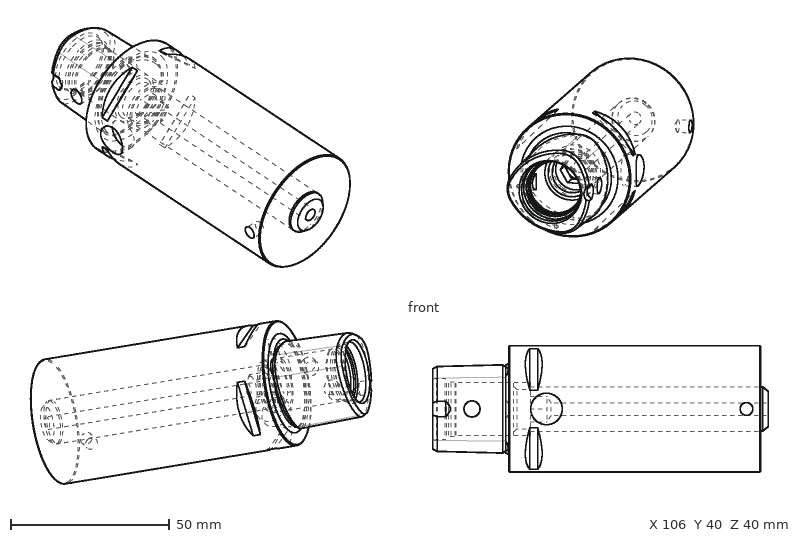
import cadquery as cq
import math


total_length = 106.0
body_diameter = 40.0
body_radius = body_diameter / 2
flange_x = 24.0
body_end_x = 103.6
body_chamfer = 0.3

shank_half_width = 14.0
shank_end_x = 22.0
taper_ratio = 1 / 40
lobe_count = 3
lobe_pitch = 360 / lobe_count
lobe_rise = 0.9
lobe_radius = 8.0
lead_length = 1.4
lead_drop = 0.7
neck_drop = 0.6

undercut_outer_radius = 15.9
undercut_inner_radius = 14.0
undercut_round = 1.2
undercut_centre_radius = undercut_inner_radius + undercut_round
undercut_start_x = flange_x - math.sqrt(
    undercut_round**2 - (undercut_outer_radius - undercut_centre_radius) ** 2
)

mouth_radius = 10.2
mouth_depth = 1.1
bore_entry_radius = 9.6
bore_entry_end_x = 3.8
bore_step_radius = 8.9
bore_step_start_x = 4.2
bore_step_end_x = 4.9
bore_land_radius = 8.6
bore_land_start_x = 5.7
bore_land_end_x = 6.9
bore_radius = 8.4
bore_start_x = 7.3
ring_x = 25.4

ring_length = 5.3
ring_mouth_radius = 7.3
ring_hole_radius = 6.3

bolt_radius = 7.0
bolt_x = ring_x + ring_length
tip_radius = 5.6
tip_length = 1.7
hex_sides = 6
hex_flats = 8.2
hex_depth = 5.3
coolant_radius = 2.0

drill_half_angle = math.radians(59)
pin_hole_x = 12.4
pin_hole_radius = 2.5
pin_hole_end_y = 11.1
notch_radius = 2.8
notch_axis_y = -13.8
notch_depth = 4.1
notch_tip_length = 2.4
side_hole_x = 99.1
side_hole_radius = 2.0
side_hole_depth = 4.2
chip_hole_x = 35.9
chip_hole_radius = 5.0
chip_hole_depth = 5.1

slot_x = 31.9
slot_count = 4
first_slot_angle = 45
slot_floor_distance = 17.7
slot_floor_width = 2.4
slot_mouth_width = 5.3


def revolve_about_x(points):
    """Solid of revolution about X from (x, radius) points."""
    return cq.Workplane("XY").polyline(points).close().revolve(360, (0, 0, 0), (1, 0, 0))


def polar(radius, degrees):
    """Point (y, z) at an angle from +Y toward +Z."""
    angle = math.radians(degrees)
    return (radius * math.cos(angle), radius * math.sin(angle))


def lobed_wire(x, half_width, inset):
    """Closed outline of three lobes and three flanks, all arcs tangent to each other."""
    tip = half_width + lobe_rise
    flat = half_width - lobe_rise
    nose = lobe_radius - inset
    centre = tip - nose
    flank = (nose**2 - flat**2 - centre**2 + flat * centre) / (centre - 2 * flat + 2 * nose)
    offset = flank - flat
    far_y, far_z = polar(offset, lobe_pitch / 2 + 180)
    toward_y, toward_z = centre - far_y, -far_z
    reach = nose / math.hypot(toward_y, toward_z)
    joint_y = centre + reach * toward_y
    joint_z = reach * toward_z
    joint_radius = math.hypot(joint_y, joint_z)
    joint_angle = math.degrees(math.atan2(joint_z, joint_y))

    outline = cq.Workplane("YZ", origin=(x, 0, 0)).moveTo(*polar(joint_radius, -joint_angle))
    for index in range(lobe_count):
        lobe = index * lobe_pitch
        outline = outline.threePointArc(polar(tip, lobe), polar(joint_radius, lobe + joint_angle))
        outline = outline.threePointArc(
            polar(flat, lobe + lobe_pitch / 2),
            polar(joint_radius, lobe + lobe_pitch - joint_angle),
        )
    return outline.close().val()


def lobed_frustum(x_start, half_start, x_end, half_end):
    """Stretch of shank between two lobed outlines, each an inward offset of the widest."""
    wires = [
        lobed_wire(x_start, half_start, shank_half_width - half_start),
        lobed_wire(x_end, half_end, shank_half_width - half_end),
    ]
    return cq.Workplane(cq.Solid.makeLoft(wires, True))


def make_shank():
    """Lead-in chamfer, long taper, relief and neck; the neck runs on inside the body."""
    lead_half = shank_half_width - taper_ratio * (shank_end_x - lead_length)
    neck_half = shank_half_width - neck_drop
    lead = lobed_frustum(0, lead_half - lead_drop, lead_length, lead_half)
    cone = lobed_frustum(lead_length, lead_half, shank_end_x, shank_half_width)
    relief = lobed_frustum(shank_end_x, shank_half_width, undercut_start_x, neck_half)
    root = lobed_frustum(undercut_start_x, neck_half, ring_x, neck_half)
    return lead.union(cone).union(relief).union(root)


def make_undercut():
    """Round-bottomed ring groove in the flange face, beside the shank root."""
    return (
        cq.Workplane("XY")
        .moveTo(undercut_start_x, undercut_inner_radius)
        .threePointArc(
            (undercut_start_x + undercut_round, undercut_centre_radius),
            (flange_x, undercut_outer_radius),
        )
        .lineTo(undercut_start_x, undercut_outer_radius)
        .close()
        .revolve(360, (0, 0, 0), (1, 0, 0))
    )


def make_body():
    """Chamfered cylinder with the rounded root of the shank in its flange face."""
    body = (
        cq.Workplane("YZ", origin=(flange_x, 0, 0))
        .circle(body_radius)
        .extrude(body_end_x - flange_x)
        .edges()
        .chamfer(body_chamfer)
    )
    collar = (
        cq.Workplane("YZ", origin=(undercut_start_x, 0, 0))
        .circle(undercut_outer_radius)
        .extrude(flange_x - undercut_start_x)
    )
    return body.union(collar).cut(make_undercut())


def make_bore():
    """Stepped bore for the ring, then the bolt hole out to the +X end."""
    return revolve_about_x([
        (0, 0),
        (0, mouth_radius),
        (mouth_depth, bore_entry_radius),
        (bore_entry_end_x, bore_entry_radius),
        (bore_step_start_x, bore_step_radius),
        (bore_step_end_x, bore_step_radius),
        (bore_land_start_x, bore_land_radius),
        (bore_land_end_x, bore_land_radius),
        (bore_start_x, bore_radius),
        (bolt_x, bore_radius),
        (bolt_x, bolt_radius),
        (total_length, bolt_radius),
        (total_length, 0),
    ])


def drill_along_y(x, radius, start_y, end_y):
    """Drill running toward +Y with a pointed tip beyond end_y."""
    tip_y = end_y + radius / math.tan(drill_half_angle)
    return (
        cq.Workplane("XY")
        .polyline([(x, start_y), (x + radius, start_y), (x + radius, end_y), (x, tip_y)])
        .close()
        .revolve(360, (x, 0, 0), (x, 1, 0))
    )


def make_notch():
    """Pointed groove along X in the -Y side of the shank."""
    notch = revolve_about_x([
        (0, 0),
        (0, notch_radius),
        (notch_depth, notch_radius),
        (notch_depth + notch_tip_length, 0),
    ])
    return notch.translate((0, notch_axis_y, 0))


def make_chip_hole():
    """Flat-bottomed hole in the -Y side of the body."""
    return (
        cq.Workplane("XZ", origin=(chip_hole_x, -body_radius + chip_hole_depth, 0))
        .circle(chip_hole_radius)
        .extrude(body_radius)
    )


def make_gripper_slot(angle):
    """Straight slot with sloped sides, cut as a chord across the body."""
    depth = body_radius - slot_floor_distance
    slot = (
        cq.Workplane("XZ", origin=(slot_x, 0, 0))
        .polyline([
            (-slot_floor_width / 2, slot_floor_distance),
            (slot_floor_width / 2, slot_floor_distance),
            (slot_mouth_width / 2, slot_floor_distance + depth),
            (-slot_mouth_width / 2, slot_floor_distance + depth),
        ])
        .close()
        .extrude(body_radius, both=True)
    )
    return slot.rotate((0, 0, 0), (1, 0, 0), angle)


def make_housing():
    """Shank and body in one piece, with every hole and slot."""
    housing = make_body().union(make_shank()).cut(make_bore()).cut(make_notch()).cut(make_chip_hole())
    housing = housing.cut(drill_along_y(pin_hole_x, pin_hole_radius, -body_radius, pin_hole_end_y))
    side_hole_end_y = -body_radius + side_hole_depth
    housing = housing.cut(drill_along_y(side_hole_x, side_hole_radius, -body_radius, side_hole_end_y))
    for index in range(slot_count):
        housing = housing.cut(make_gripper_slot(first_slot_angle + index * 360 / slot_count))
    return housing


def make_retaining_ring():
    """Ring in front of the bolt, with a chamfered mouth."""
    return revolve_about_x([
        (ring_x, bore_radius),
        (ring_x, ring_mouth_radius),
        (ring_x + ring_mouth_radius - ring_hole_radius, ring_hole_radius),
        (bolt_x, ring_hole_radius),
        (bolt_x, bore_radius),
    ])


def make_bolt():
    """Bolt with a hexagon socket, a chamfered tip and a coolant hole right through."""
    bolt = revolve_about_x([
        (bolt_x, 0),
        (bolt_x, bolt_radius),
        (total_length - tip_length, bolt_radius),
        (total_length, tip_radius),
        (total_length, 0),
    ])
    socket = (
        cq.Workplane("YZ", origin=(bolt_x, 0, 0))
        .polygon(hex_sides, hex_flats / math.cos(math.pi / hex_sides))
        .extrude(hex_depth)
    )
    hex_floor_x = bolt_x + hex_depth
    cone_length = (hex_flats / 2 - coolant_radius) / math.tan(drill_half_angle)
    coolant = revolve_about_x([
        (hex_floor_x, 0),
        (hex_floor_x, hex_flats / 2),
        (hex_floor_x + cone_length, coolant_radius),
        (total_length, coolant_radius),
        (total_length, 0),
    ])
    return bolt.cut(socket).cut(coolant)


housing = make_housing()
retaining_ring = make_retaining_ring()
bolt = make_bolt()

result = cq.Compound.makeCompound([housing.val(), retaining_ring.val(), bolt.val()])